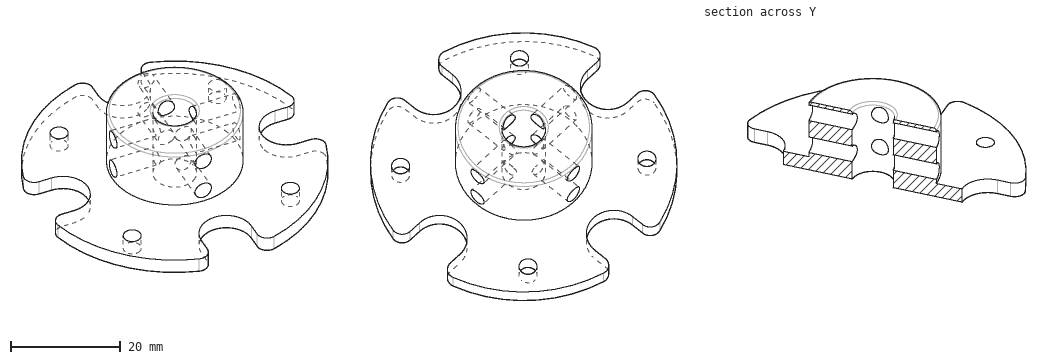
import cadquery as cq
import math

overall_width = 54.05
overall_height = 15.0
plate_thickness = 3.0
hub_diameter = 25.0
bore_diameter = 8.0
hub_edge_fillet = 0.5
slot_width = 10.0
slot_center_radius = 22.5
slot_corner_radius = 2.0
small_hole_diameter = 3.3
bolt_circle_radius = 22.5
cross_hole_heights = (5.5, 12.5)

half_width = overall_width / 2
corner_offset = slot_width / 2 + slot_corner_radius
corner_reach = half_width - slot_corner_radius
disc_radius = math.hypot(corner_offset, corner_reach) + slot_corner_radius


def make_plate():
    """Disc with four round-ended edge slots, rounded at their mouths."""
    plate = cq.Workplane("XY").circle(disc_radius).extrude(plate_thickness)
    slot_length = disc_radius
    slot = (
        cq.Workplane("XY")
        .center(slot_center_radius, 0)
        .circle(slot_width / 2)
        .extrude(plate_thickness)
        .union(
            cq.Workplane("XY")
            .center(slot_center_radius + slot_length / 2, 0)
            .rect(slot_length, slot_width)
            .extrude(plate_thickness)
        )
    )
    for quarter in range(4):
        plate = plate.cut(slot.rotate((0, 0, 0), (0, 0, 1), 90 * quarter))

    mouth_y = slot_width / 2
    mouth_x = math.sqrt(disc_radius**2 - mouth_y**2)
    mouth_points = [
        (sx * x, sy * y, plate_thickness / 2)
        for x, y in ((mouth_x, mouth_y), (mouth_y, mouth_x))
        for sx in (-1, 1)
        for sy in (-1, 1)
    ]
    for point in mouth_points:
        corner = cq.selectors.NearestToPointSelector(point)
        plate = plate.edges("|Z").edges(corner).fillet(slot_corner_radius)
    return plate


def make_hub():
    """Central cylinder with a rounded upper rim."""
    hub = cq.Workplane("XY").circle(hub_diameter / 2).extrude(overall_height)
    return hub.faces(">Z").edges().fillet(hub_edge_fillet)


def cut_bore(body):
    """Through bore with a rounded upper mouth."""
    bored = body.cut(cq.Workplane("XY").circle(bore_diameter / 2).extrude(overall_height))
    bore_mouth = cq.selectors.RadiusNthSelector(0)
    return bored.faces(">Z").edges(bore_mouth).fillet(hub_edge_fillet)


def cut_bolt_holes(body):
    """Four holes through the plate, on the diagonals between the slots."""
    holes = (
        cq.Workplane("XY")
        .polarArray(bolt_circle_radius, 45, 360, 4)
        .circle(small_hole_diameter / 2)
        .extrude(plate_thickness)
    )
    return body.cut(holes)


def cut_cross_holes(body):
    """Two levels of holes crossing the whole hub along X and along Y."""
    for plane in ("XZ", "YZ"):
        holes = (
            cq.Workplane(plane)
            .pushPoints([(0, height) for height in cross_hole_heights])
            .circle(small_hole_diameter / 2)
            .extrude(hub_diameter / 2, both=True)
        )
        body = body.cut(holes)
    return body


body = make_plate().union(make_hub())
body = cut_bore(body)
body = cut_bolt_holes(body)
result = cut_cross_holes(body)